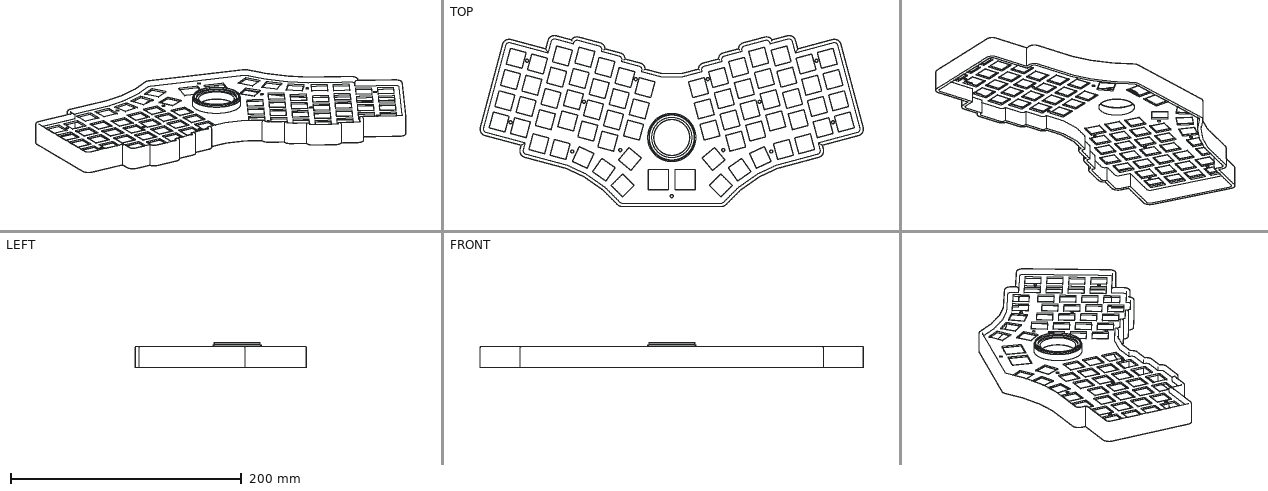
import cadquery as cq
import math

CASE_HEIGHT = 18.5
RING_TOP = 22.0
PLATE_TOP = 14.0
PLATE_THICKNESS = 1.5
PLATE_BOTTOM = PLATE_TOP - PLATE_THICKNESS

CASE_WIDTH = 332.2
CASE_DEPTH = 148.5
CORNER_RADIUS = 6.0
WALL = 3.0
RIM_FILLET = 1.45
FRONT_EDGE_Y = -CASE_DEPTH / 2
BACK_EDGE_Y = 41.2

TILT = 15
GRID_WIDTH = 114.3
FIRST_COLUMN = 30.0
COLUMN_TOPS = [22.0, 26.0, 30.0, 34.0, 30.0, 17.5, 17.5]
COLUMN_KEYS = [3, 4, 4, 4, 4, 4, 4]
PITCH = GRID_WIDTH / (len(COLUMN_TOPS) - 1)
COLUMNS = [FIRST_COLUMN + PITCH * i for i in range(len(COLUMN_TOPS))]
TALL_COLUMNS = 5
LOWER_ROW = -48.8
LOWER_ROW_COLUMNS = COLUMNS[3:TALL_COLUMNS]
KEY_HOLE = 14.0

FAN_KEYS = [(76.7, -31.5, 25), (58.8, -42.2, 35), (42.5, -55.8, 45)]
INNER_THUMB_KEY = (36.2, -33.0, 40)

CENTRE_HOLE = 17.3
CENTRE_HOLE_X = 11.5
CENTRE_HOLE_Y = -50.8

GRID_MARGIN = 9.5
END_MARGIN = 8.5
THUMB_MARGIN = 9.0

RING_Y = -14.3
RING_DIAMETER = 42.0
RING_NECK_DIAMETER = 40.0
RING_NECK_BOTTOM = 19.5
RING_BORE = 31.0
RING_STEPS = [(39.0, 20.5), (35.0, 19.3)]

SCREW_HOLE = 2.5
RIGHT_SCREWS = [(134.5, 18.0), (134.5, -37.2), (39.5, 27.0), (77.7, -3.5), (76.5, -48.0), (36.5, -36.0)]
CENTRE_SCREW = (0, -65.0)


def tilted(across, along):
    """Turn a point of the right key grid into part coordinates."""
    c = math.cos(math.radians(TILT))
    s = math.sin(math.radians(TILT))
    return (across * c - along * s, across * s + along * c)


def edge_below(x, y, angle, margin):
    """Line at a margin below a key, as a point and an angle."""
    a = math.radians(angle)
    return (x + margin * math.sin(a), y - margin * math.cos(a), angle)


def crossing(first, second):
    """Point where two lines cross, each given as x, y, angle."""
    x1, y1, angle1 = first
    x2, y2, angle2 = second
    a1 = math.radians(angle1)
    a2 = math.radians(angle2)
    t = ((x2 - x1) * math.sin(a2) - (y2 - y1) * math.cos(a2)) / math.sin(a2 - a1)
    return (x1 + t * math.cos(a1), y1 + t * math.sin(a1))


def thumb_border():
    """Bends of the border under the thumb keys, from the front edge outwards."""
    lines = [(0, FRONT_EDGE_Y + CORNER_RADIUS, 0)]
    lines += [edge_below(*key, THUMB_MARGIN) for key in reversed(FAN_KEYS)]
    lower_key = tilted(LOWER_ROW_COLUMNS[0], LOWER_ROW)
    lines.append(edge_below(*lower_key, TILT, END_MARGIN))
    return [crossing(a, b) for a, b in zip(lines, lines[1:])]


def grid_border():
    """Corners of the border around the key grid, from the lower row round to the first column."""
    last_tall = TALL_COLUMNS - 1
    back_step = COLUMNS[last_tall] + GRID_MARGIN
    front_step = COLUMNS[last_tall] + END_MARGIN
    end_top = COLUMN_TOPS[-1] + END_MARGIN
    end_bottom = COLUMN_TOPS[-1] - (COLUMN_KEYS[-1] - 1) * PITCH - END_MARGIN
    reach = CASE_WIDTH / 2 - CORNER_RADIUS
    end = (reach + end_bottom * math.sin(math.radians(TILT))) / math.cos(math.radians(TILT))
    corners = [
        (front_step, LOWER_ROW - END_MARGIN),
        (front_step, end_bottom),
        (end, end_bottom),
        (end, end_top),
        (back_step, end_top),
        (back_step, COLUMN_TOPS[last_tall] + GRID_MARGIN),
    ]
    for i in range(last_tall, 0, -1):
        edge = (COLUMNS[i] + COLUMNS[i - 1]) / 2
        corners.append((edge, COLUMN_TOPS[i] + GRID_MARGIN))
        corners.append((edge, COLUMN_TOPS[i - 1] + GRID_MARGIN))
    return [tilted(*corner) for corner in corners]


def back_border():
    """Bend where the top of the first column meets the straight back edge."""
    first_top = tilted(COLUMNS[0], COLUMN_TOPS[0] + GRID_MARGIN)
    return crossing((*first_top, TILT), (0, BACK_EDGE_Y - CORNER_RADIUS, 0))


def outline(offset):
    """Closed outline at an offset outside the border, with rounded outer corners."""
    right = thumb_border() + grid_border() + [back_border()]
    left = [(-x, y) for x, y in reversed(right)]
    return cq.Workplane("XY").polyline(right + left).close().offset2D(offset, "arc")


def key_places():
    """Centre and angle of every key opening, both halves."""
    right = [(*tilted(across, LOWER_ROW), TILT) for across in LOWER_ROW_COLUMNS]
    for across, top, count in zip(COLUMNS, COLUMN_TOPS, COLUMN_KEYS):
        right += [(*tilted(across, top - row * PITCH), TILT) for row in range(count)]
    right += FAN_KEYS + [INNER_THUMB_KEY]
    return right + [(-x, y, -angle) for x, y, angle in right]


def square_cutters(places, size):
    """Square blocks through the plate at places given as x, y, angle."""
    z_axis = cq.Vector(0, 0, 1)
    spots = [cq.Location(cq.Vector(x, y, PLATE_BOTTOM), z_axis, angle) for x, y, angle in places]
    return cq.Workplane("XY").newObject(spots).rect(size, size).extrude(PLATE_THICKNESS)


def discs(points, diameter, bottom, top):
    """Upright cylinders between two heights."""
    base = cq.Workplane("XY").workplane(offset=bottom)
    return base.pushPoints(points).circle(diameter / 2).extrude(top - bottom)


def make_wall():
    """Wall around the case with its rim rounded on both sides."""
    wall = outline(CORNER_RADIUS).extrude(CASE_HEIGHT)
    wall = wall.cut(outline(CORNER_RADIUS - WALL).extrude(CASE_HEIGHT))
    return wall.faces(">Z").edges().fillet(RIM_FILLET)


def make_plate():
    """Recessed plate with key openings and screw holes, reaching halfway into the wall."""
    plate = outline(CORNER_RADIUS - WALL / 2).extrude(PLATE_THICKNESS).translate((0, 0, PLATE_BOTTOM))
    plate = plate.cut(square_cutters(key_places(), KEY_HOLE))
    centre_places = [(side * CENTRE_HOLE_X, CENTRE_HOLE_Y, 0) for side in (-1, 1)]
    plate = plate.cut(square_cutters(centre_places, CENTRE_HOLE))
    right = [tilted(*place) for place in RIGHT_SCREWS]
    screws = right + [(-x, y) for x, y in right] + [CENTRE_SCREW]
    return plate.cut(discs(screws, SCREW_HOLE, PLATE_BOTTOM, PLATE_TOP))


def add_ring(body):
    """Stepped dial ring standing on the plate, bored through."""
    centre = [(0, RING_Y)]
    body = body.union(discs(centre, RING_DIAMETER, PLATE_BOTTOM, RING_NECK_BOTTOM))
    body = body.union(discs(centre, RING_NECK_DIAMETER, RING_NECK_BOTTOM, RING_TOP))
    body = body.cut(discs(centre, RING_BORE, PLATE_BOTTOM, RING_TOP))
    for diameter, floor in RING_STEPS:
        body = body.cut(discs(centre, diameter, floor, RING_TOP))
    return body


result = make_wall().union(add_ring(make_plate()))